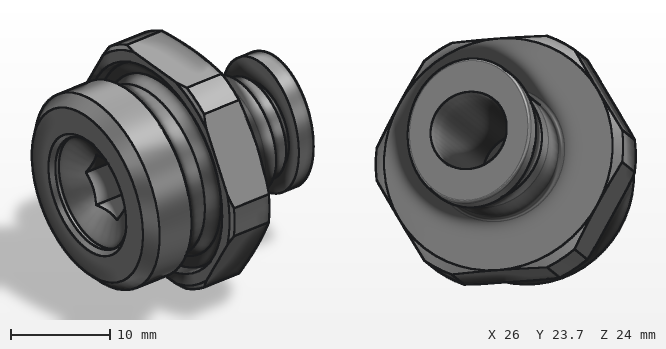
import cadquery as cq
import math


thread_chamfer = 1.2
thread_end = 5.2
neck_start = 6.0
hex_front = 8.48
hex_back = 13.5
sleeve_taper_start = 17.5
sleeve_end = 19.0
collar_end = 20.85
ring_front = 21.7
ring_back = 23.7

thread_radius = 10.5
neck_radius = 9.07
sleeve_radius = 6.47
sleeve_end_radius = 6.27
collar_radius = 5.49
stem_radius = 4.8

hex_across_flats = 24.0
hex_corner_radius = 13.0
front_bevel_radius = 12.5
front_bevel_depth = 0.25
back_bevel_angle = 20.0
back_bevel_radius = hex_across_flats / 2
back_bevel_depth = (hex_corner_radius - back_bevel_radius) * math.tan(math.radians(back_bevel_angle))

groove_radius = 11.28
groove_depth = 1.0
groove_floor = hex_front + groove_depth
groove_wall_start = 7.95
groove_floor_outer_radius = 10.95
groove_floor_inner_radius = 9.72

sleeve_fillet = 0.5

ring_half_width = 6.47
ring_half_height = 7.5
ring_edge_radius = 0.25

bore_radius = 6.0
bore_chamfer = 0.5
bore_depth = 0.94
drill_point_half_angle = 60.0
drill_tip = bore_depth + bore_radius / math.tan(math.radians(drill_point_half_angle))
key_across_flats = 5.98
key_end = 5.77
tube_radius = 4.0


def revolve_about_y(profile):
    """Turn a closed (radius, axial position) outline about the Y axis."""
    return profile.close().revolve(360, (0, 0, 0), (0, 1, 0))


def hexagon_prism(across_flats, start, end):
    """Hexagonal prism along Y with corners pointing along X."""
    corner_diameter = across_flats / math.cos(math.radians(30))
    sketch = cq.Workplane("XZ", origin=(0, start, 0)).polygon(6, corner_diameter)
    return sketch.extrude(start - end)


def hex_flange():
    envelope = revolve_about_y(
        cq.Workplane("XY")
        .moveTo(0, hex_front)
        .lineTo(front_bevel_radius, hex_front)
        .lineTo(hex_corner_radius, hex_front + front_bevel_depth)
        .lineTo(hex_corner_radius, hex_back - back_bevel_depth)
        .lineTo(back_bevel_radius, hex_back)
        .lineTo(0, hex_back)
    )
    groove = revolve_about_y(
        cq.Workplane("XY")
        .moveTo(0, hex_front)
        .lineTo(groove_radius, hex_front)
        .lineTo(groove_floor_outer_radius, groove_floor)
        .lineTo(0, groove_floor)
    )
    return hexagon_prism(hex_across_flats, hex_front, hex_back).intersect(envelope).cut(groove)


def turned_body():
    return revolve_about_y(
        cq.Workplane("XY")
        .lineTo(thread_radius - thread_chamfer, 0)
        .lineTo(thread_radius, thread_chamfer)
        .lineTo(thread_radius, thread_end)
        .lineTo(neck_radius, neck_start)
        .lineTo(neck_radius, groove_wall_start)
        .lineTo(groove_floor_inner_radius, groove_floor)
        .lineTo(sleeve_radius + sleeve_fillet, hex_back)
        .radiusArc((sleeve_radius, hex_back + sleeve_fillet), sleeve_fillet)
        .lineTo(sleeve_radius, sleeve_taper_start)
        .lineTo(sleeve_end_radius, sleeve_end)
        .lineTo(collar_radius, sleeve_end)
        .lineTo(collar_radius, collar_end)
        .lineTo(stem_radius, collar_end)
        .lineTo(stem_radius, ring_front)
        .lineTo(0, ring_front)
    )


def release_ring():
    sketch = cq.Workplane("XZ", origin=(0, ring_front, 0)).ellipse(ring_half_width, ring_half_height)
    return sketch.extrude(ring_front - ring_back).faces(">Y").edges().fillet(ring_edge_radius)


def bore():
    drilled_hole = revolve_about_y(
        cq.Workplane("XY")
        .lineTo(bore_radius + bore_chamfer, 0)
        .lineTo(bore_radius, bore_chamfer)
        .lineTo(bore_radius, bore_depth)
        .lineTo(0, drill_tip)
    )
    key_hole = hexagon_prism(key_across_flats, 0, key_end)
    tube_hole = cq.Workplane("XZ", origin=(0, key_end, 0)).circle(tube_radius).extrude(key_end - ring_back)
    return drilled_hole.union(key_hole).union(tube_hole)


result = turned_body().union(hex_flange()).union(release_ring()).cut(bore())